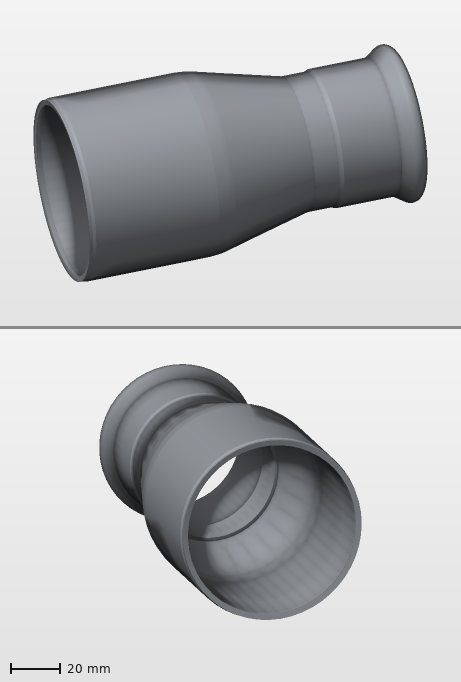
import cadquery as cq
import math


length = 146.0
pipe_outer_r = 76.0 / 2
pipe_bore_r = 72.0 / 2
pipe_end_y = 55.0
wall = pipe_outer_r - pipe_bore_r

rim_bend_y = 2.6
rim_straight_y = 1.5
rim_inset = 0.5
rim_lip_r = 35.3
rim_tilt = 0.5

cone_start_y = 62.3
cone_end_y = 98.7

neck_outer_r = 56.0 / 2
neck_bore_r = 53.0 / 2
neck_end_y = 109.0
nose_bevel = 0.6

socket_outer_r = 57.5 / 2
socket_bore_r = 54.5 / 2
socket_start_y = 111.0
socket_end_y = 135.5

bead_outer_r = 32.7
bead_round_r = 3.5
bead_center_r = bead_outer_r - bead_round_r
bead_center_y = length - bead_round_r
bead_flank_y = 140.5

blend_length = cone_start_y - pipe_end_y
cone_length = cone_end_y - cone_start_y
cone_slope = (pipe_outer_r - neck_outer_r) / (cone_length + blend_length / 2)
blend_drop = cone_slope * blend_length / 2
cone_outer_r = pipe_outer_r - blend_drop
cone_inner_r = pipe_bore_r - blend_drop

nose_y = cone_start_y + (cone_inner_r - neck_outer_r) / cone_slope


def revolve_profile(profile):
    return profile.close().revolve(360, (0, 0), (0, 1))


def make_reducer():
    """Pipe end and cone of even wall, bored at the narrow end for the neck."""
    blend_middle_y = (pipe_end_y + cone_start_y) / 2
    blend_middle_drop = blend_drop / 4
    profile = (
        cq.Workplane("XY")
        .moveTo(rim_lip_r, rim_tilt)
        .lineTo(pipe_outer_r - rim_inset, 0)
        .lineTo(pipe_outer_r - rim_inset, rim_straight_y)
        .lineTo(pipe_outer_r, rim_bend_y)
        .lineTo(pipe_outer_r, pipe_end_y)
        .threePointArc(
            (pipe_outer_r - blend_middle_drop, blend_middle_y), (cone_outer_r, cone_start_y)
        )
        .lineTo(neck_outer_r, cone_end_y)
        .lineTo(neck_outer_r, nose_y)
        .lineTo(cone_inner_r, cone_start_y)
        .threePointArc(
            (pipe_bore_r - blend_middle_drop, blend_middle_y), (pipe_bore_r, pipe_end_y)
        )
        .lineTo(pipe_bore_r, rim_bend_y)
    )
    return revolve_profile(profile)


def make_socket():
    """Neck, pipe socket and beaded mouth."""
    flank_offset = bead_flank_y - bead_center_y
    flank_r = bead_center_r + math.sqrt(bead_round_r**2 - flank_offset**2)
    profile = (
        cq.Workplane("XY")
        .moveTo(neck_bore_r, nose_y)
        .lineTo(neck_outer_r, nose_y + nose_bevel)
        .lineTo(neck_outer_r, neck_end_y)
        .lineTo(socket_outer_r, socket_start_y)
        .lineTo(socket_outer_r, socket_end_y)
        .lineTo(flank_r, bead_flank_y)
        .threePointArc((bead_outer_r, bead_center_y), (bead_center_r, length))
        .lineTo(socket_bore_r, length)
        .lineTo(socket_bore_r, socket_start_y)
        .lineTo(neck_bore_r, neck_end_y)
    )
    return revolve_profile(profile)


reducer = make_reducer()
socket = make_socket()
result = cq.Compound.makeCompound([reducer.val(), socket.val()])